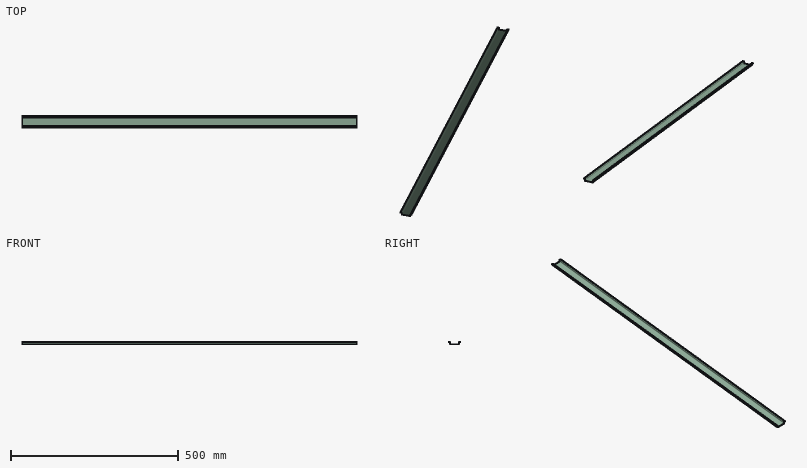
import cadquery as cq

RAIL_LENGTH = 1000.0
RAIL_WIDTH = 35.0
RAIL_HEIGHT = 7.5
CHANNEL_WIDTH = 27.0
SHEET_THICKNESS = 1.0
INNER_BEND_RADIUS = 0.8

OUTER_BEND_RADIUS = INNER_BEND_RADIUS + SHEET_THICKNESS
CHANNEL_INNER_WIDTH = CHANNEL_WIDTH - 2 * SHEET_THICKNESS
FLANGE_UNDERSIDE = RAIL_HEIGHT - SHEET_THICKNESS


def hat_section():
    """Sharp-cornered hat profile at the -X end of the rail, base at Z = 0, open at the top."""
    half_rail = RAIL_WIDTH / 2
    half_outer = CHANNEL_WIDTH / 2
    half_inner = CHANNEL_INNER_WIDTH / 2
    right_half = [
        (half_outer, 0),
        (half_outer, FLANGE_UNDERSIDE),
        (half_rail, FLANGE_UNDERSIDE),
        (half_rail, RAIL_HEIGHT),
        (half_inner, RAIL_HEIGHT),
        (half_inner, SHEET_THICKNESS),
    ]
    left_half = [(-y, z) for y, z in reversed(right_half)]
    return cq.Workplane("YZ", origin=(-RAIL_LENGTH / 2, 0, 0)).polyline(right_half + left_half).close()


def edges_along_rail(y, z):
    """Select the pair of lengthwise edges at +y and -y, height z."""
    reach = SHEET_THICKNESS / 4
    half_length = RAIL_LENGTH / 2 + reach

    def box_at(side_y):
        return cq.selectors.BoxSelector(
            (-half_length, side_y - reach, z - reach),
            (half_length, side_y + reach, z + reach),
        )

    return box_at(y) + box_at(-y)


def round_bends(rail):
    """Round the four sheet bends: concentric inner and outer radii."""
    half_outer = CHANNEL_WIDTH / 2
    half_inner = CHANNEL_INNER_WIDTH / 2
    inner_corners = [(half_inner, SHEET_THICKNESS), (half_outer, FLANGE_UNDERSIDE)]
    outer_corners = [(half_outer, 0), (half_inner, RAIL_HEIGHT)]
    for y, z in inner_corners:
        rail = rail.edges(edges_along_rail(y, z)).fillet(INNER_BEND_RADIUS)
    for y, z in outer_corners:
        rail = rail.edges(edges_along_rail(y, z)).fillet(OUTER_BEND_RADIUS)
    return rail


straight_rail = hat_section().extrude(RAIL_LENGTH)
result = round_bends(straight_rail)